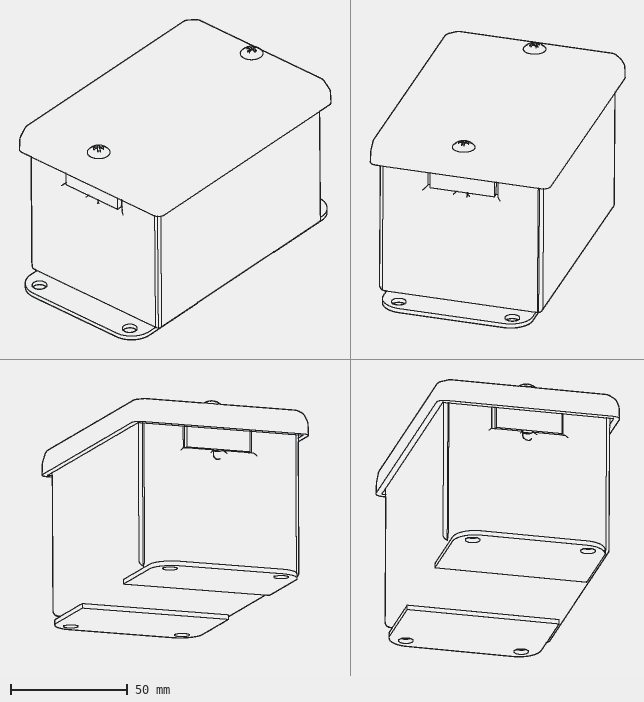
import cadquery as cq
import math

bracket_thickness = 2.0
bracket_width = 66.9
bracket_length = 41.7
bracket_corner_radius = 10.0
bracket_span = 133.3
bracket_hole_diameter = 6.3
bracket_hole_spacing = 50.8
bracket_hole_edge_distance = 6.4

box_width = 73.1
box_length = 108.3
box_wall = 4.3
box_bottom_radius = 2.5
corner_notch = 1.9

lid_width = 80.6
lid_length = 115.1
lid_height = 11.0
lid_wall = 2.7
lid_edge_radius = 3.3
lid_draft = 1.5
lid_corner_setback = 6.7
rim_level = 64.2
lid_top_level = rim_level + lid_height
lid_ceiling_level = lid_top_level - lid_wall

recess_width = 31.5
recess_bottom_level = 55.4
recess_depth = 2.7
recess_offset = -0.4
recess_lip_radius = 1.9
finger_notch_width = 4.1
finger_notch_depth = 2.0
finger_notch_centre_level = 53.5
plate_width = 28.9
plate_offset = -0.7

head_diameter = 9.8
head_height = 2.5
shank_diameter = 4.1
cross_length = 4.3
cross_width = 1.1
cross_depth = 1.3
screw_places = [(-1.6, -48.4, 45), (-0.1, 50.5, 5)]

tilt_x = 0.15
tilt_y = -0.35
tilt_z = 0.45

sides = (-1, 1)
ends = (-1, 1)
end_face = box_length / 2
corner_overrun = 1.3
lip_margin = 0.1


def block(width, length, bottom, top):
    """Upright block centred on the Z axis between two levels."""
    base = cq.Workplane("XY").workplane(offset=bottom)
    return base.rect(width, length).extrude(top - bottom)


def make_bracket(end):
    """Plate with two rounded outer corners and two mounting holes."""
    outer_edge = end * bracket_span / 2
    plate = block(bracket_width, bracket_length, 0, bracket_thickness)
    plate = plate.translate((0, outer_edge - end * bracket_length / 2, 0))
    outer_face = ">Y" if end > 0 else "<Y"
    plate = plate.faces(outer_face).edges("|Z").fillet(bracket_corner_radius)
    hole_y = outer_edge - end * bracket_hole_edge_distance
    holes = (
        cq.Workplane("XY")
        .pushPoints([(side * bracket_hole_spacing / 2, hole_y) for side in sides])
        .circle(bracket_hole_diameter / 2)
        .extrude(bracket_thickness)
    )
    return plate.cut(holes)


def make_recess(end):
    """Cutter for the open-topped recess with a U-shaped finger notch in its lower edge."""
    recess = block(recess_width, recess_depth, recess_bottom_level, lid_ceiling_level)
    recess = recess.translate((0, -end * recess_depth / 2, 0))
    notch = block(finger_notch_width, finger_notch_depth, finger_notch_centre_level, recess_bottom_level)
    notch_end = (
        cq.Workplane("XZ", origin=(0, finger_notch_depth / 2, finger_notch_centre_level))
        .circle(finger_notch_width / 2)
        .extrude(finger_notch_depth)
    )
    notch = notch.union(notch_end).translate((0, -end * finger_notch_depth / 2, 0))
    return recess.union(notch).translate((recess_offset, end * end_face, 0))


def make_finger_bore(end):
    """Cutter for the upright ball-ended bore that rounds the back of the finger notch."""
    axis_y = end * (end_face - finger_notch_depth)
    base = cq.Workplane("XY", origin=(recess_offset, axis_y, finger_notch_centre_level))
    radius = finger_notch_width / 2
    bore = base.circle(radius).extrude(recess_bottom_level - finger_notch_centre_level)
    return bore.union(base.sphere(radius))


def lip_edges(end):
    """Selector for the mouth edges of one recess."""
    half_width = recess_width / 2 + lip_margin
    lowest = finger_notch_centre_level - finger_notch_width
    return cq.selectors.BoxSelector(
        (recess_offset - half_width, end * (end_face - lip_margin), lowest),
        (recess_offset + half_width, end * (end_face + lip_margin), lid_ceiling_level - lip_margin),
    )


def make_box():
    """Open-topped box with notched upright corners and a rounded-lip recess in each end wall."""
    box = block(box_width, box_length, bracket_thickness, lid_ceiling_level)
    box = box.edges("<Z").fillet(box_bottom_radius)
    cavity = block(
        box_width - 2 * box_wall, box_length - 2 * box_wall, bracket_thickness + box_wall, lid_ceiling_level
    )
    box = box.cut(cavity)
    for end in ends:
        box = box.cut(make_recess(end))
        box = box.edges(lip_edges(end)).fillet(recess_lip_radius)
        box = box.cut(make_finger_bore(end))
    corner = block(2 * corner_notch, 2 * corner_notch, bracket_thickness, lid_ceiling_level)
    for side in sides:
        for end in ends:
            box = box.cut(corner.translate((side * box_width / 2, end * end_face, 0)))
    return box


def make_cover_plate(end):
    """Plate standing on the recess floor, flush with the end wall."""
    plate = block(plate_width, recess_depth, recess_bottom_level, lid_ceiling_level)
    return plate.translate((plate_offset, end * (end_face - recess_depth / 2), 0))


def make_corner_cut(side, end):
    """Pyramid that cuts a sloped facet at one top corner of the lid."""
    inset = lid_height * math.tan(math.radians(lid_draft))
    corner_x = lid_width / 2 - inset
    corner_y = lid_length / 2 - inset
    tip_x = corner_x + corner_overrun
    tip_y = corner_y + corner_overrun
    tip_z = lid_height + corner_overrun
    reach = lid_corner_setback + 3 * corner_overrun
    tip = cq.Vector(side * tip_x, end * tip_y, tip_z)
    a = cq.Vector(side * (tip_x - reach), end * tip_y, tip_z)
    b = cq.Vector(side * tip_x, end * (tip_y - reach), tip_z)
    c = cq.Vector(side * tip_x, end * tip_y, tip_z - reach)
    triangles = [(tip, a, b), (tip, b, c), (tip, c, a), (a, b, c)]
    faces = [cq.Face.makeFromWires(cq.Wire.makePolygon(points, close=True)) for points in triangles]
    return cq.Workplane(cq.Solid.makeSolid(cq.Shell.makeShell(faces)))


def make_lid():
    """Drafted cap with rounded outer edges and a hole for each screw."""
    lid = (
        cq.Workplane("XY")
        .rect(lid_width, lid_length)
        .extrude(lid_height, taper=lid_draft)
    )
    for side in sides:
        for end in ends:
            lid = lid.cut(make_corner_cut(side, end))
    lid = lid.edges("not <Z").fillet(lid_edge_radius)
    cavity = (
        cq.Workplane("XY")
        .rect(lid_width - 2 * lid_wall, lid_length - 2 * lid_wall)
        .extrude(lid_height - lid_wall, taper=lid_draft)
    )
    holes = (
        cq.Workplane("XY")
        .pushPoints([(x, y) for x, y, turn in screw_places])
        .circle(shank_diameter / 2)
        .extrude(lid_height)
    )
    return lid.cut(cavity).cut(holes).translate((0, 0, rim_level))


def make_screw(x, y, turn):
    """Domed screw with a cross recess; its shank passes through the lid."""
    head_radius = head_diameter / 2
    shank_radius = shank_diameter / 2
    dome_radius = (head_radius**2 + head_height**2) / (2 * head_height)
    half_angle = math.asin(head_radius / dome_radius) / 2
    dome_middle = (
        dome_radius * math.sin(half_angle),
        head_height - dome_radius * (1 - math.cos(half_angle)),
    )
    screw = (
        cq.Workplane("XZ")
        .moveTo(0, -lid_wall)
        .lineTo(shank_radius, -lid_wall)
        .lineTo(shank_radius, 0)
        .lineTo(head_radius, 0)
        .threePointArc(dome_middle, (0, head_height))
        .close()
        .revolve(360, (0, 0), (0, 1))
    )
    for arm_angle in (turn, turn + 90):
        arm = (
            cq.Workplane("XY")
            .workplane(offset=head_height - cross_depth)
            .transformed(rotate=(0, 0, arm_angle))
            .rect(cross_length, cross_width)
            .extrude(cross_depth)
        )
        screw = screw.cut(arm)
    return screw.translate((x, y, lid_top_level))


def tilt(body):
    """Turn a body about the X, Y and Z axes by the assembly's tilt."""
    origin = (0, 0, 0)
    body = body.rotate(origin, (1, 0, 0), tilt_x)
    body = body.rotate(origin, (0, 1, 0), tilt_y)
    return body.rotate(origin, (0, 0, 1), tilt_z)


box = make_box()
lid = make_lid()
brackets = [make_bracket(end) for end in ends]
cover_plates = [make_cover_plate(end) for end in ends]
screws = [make_screw(x, y, turn) for x, y, turn in screw_places]

bodies = [box, lid, *brackets, *cover_plates, *screws]
result = cq.Compound.makeCompound([tilt(body).val() for body in bodies])